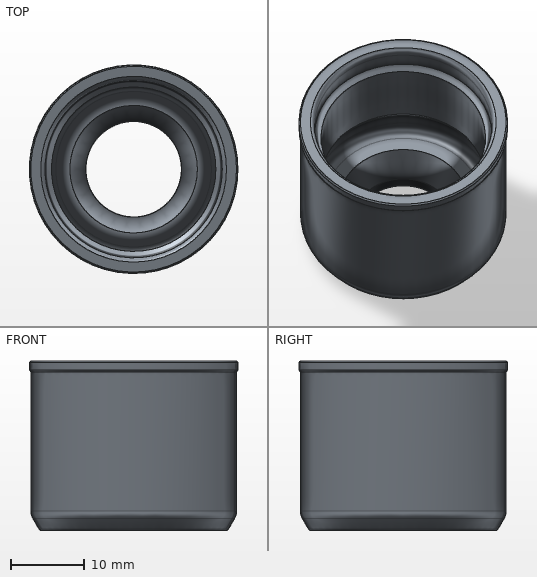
import cadquery as cq
import math

height = 23.1
collar_radius = 14.2
body_radius = 14.0
edge_break = collar_radius - body_radius

collar_straight_bottom = 21.87
collar_bottom = 21.58

lead_angle = math.radians(30)
blend_start = 2.65
blend_radius = 2.0
foot_break = 0.2

mouth_radius = 12.07
mouth_round = 1.0
mouth_flare = 0.57
mouth_seat_top = 20.14
bore_seat_top = 19.62
bore_radius = 11.2
bore_bottom = 10.03

relief_radius = mouth_radius
relief_top = 8.5
floor_level = 5.3
floor_round = 1.48

countersink_radius = 17.35 / 2
hole_radius = 13.0 / 2
countersink_depth = 3.75


def outer_body():
    """Revolve the solid outer shape."""
    blend_center = body_radius - blend_radius

    def blend_point(angle):
        return (
            blend_center + blend_radius * math.cos(angle),
            blend_start - blend_radius * math.sin(angle),
        )

    blend_end = blend_point(lead_angle)
    lead_end_radius = blend_end[0] - (blend_end[1] - foot_break) * math.tan(lead_angle)
    return (
        cq.Workplane("XZ")
        .lineTo(lead_end_radius - foot_break, 0)
        .lineTo(lead_end_radius, foot_break)
        .lineTo(*blend_end)
        .threePointArc(blend_point(lead_angle / 2), (body_radius, blend_start))
        .lineTo(body_radius, collar_bottom)
        .lineTo(collar_radius, collar_straight_bottom)
        .lineTo(collar_radius, height - edge_break)
        .lineTo(collar_radius - edge_break, height)
        .lineTo(0, height)
        .close()
        .revolve(360, (0, 0, 0), (0, 1, 0))
    )


def cavity():
    """Revolve the stepped bore, the relief groove and the countersunk hole."""
    arc_offset = math.sqrt(0.5)
    floor_round_center = (relief_radius - floor_round, floor_level + floor_round)
    floor_round_middle = (
        floor_round_center[0] + floor_round * arc_offset,
        floor_round_center[1] - floor_round * arc_offset,
    )
    mouth_sweep = math.acos(1 - mouth_flare / mouth_round)
    mouth_arc_start = height - mouth_round * math.sin(mouth_sweep)
    mouth_round_middle = (
        mouth_radius + mouth_round * (1 - math.cos(mouth_sweep / 2)),
        mouth_arc_start + mouth_round * math.sin(mouth_sweep / 2),
    )
    return (
        cq.Workplane("XZ")
        .lineTo(hole_radius, 0)
        .lineTo(hole_radius, floor_level - countersink_depth)
        .lineTo(countersink_radius, floor_level)
        .lineTo(floor_round_center[0], floor_level)
        .threePointArc(floor_round_middle, (relief_radius, floor_round_center[1]))
        .lineTo(relief_radius, relief_top)
        .lineTo(bore_radius, bore_bottom)
        .lineTo(bore_radius, bore_seat_top)
        .lineTo(mouth_radius, mouth_seat_top)
        .lineTo(mouth_radius, mouth_arc_start)
        .threePointArc(mouth_round_middle, (mouth_radius + mouth_flare, height))
        .lineTo(0, height)
        .close()
        .revolve(360, (0, 0, 0), (0, 1, 0))
    )


result = outer_body().cut(cavity())